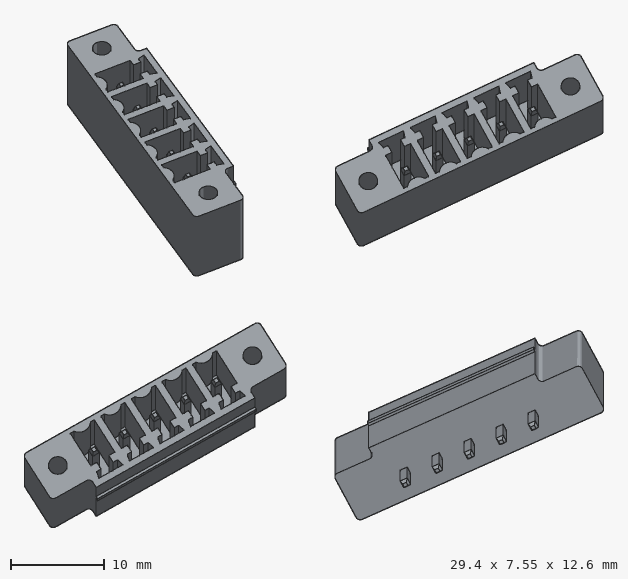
import cadquery as cq

LENGTH = 29.44
FLANGE_DEPTH = 6.05
BODY_LENGTH = 19.8
BODY_DEPTH = 7.25
HEIGHT = 9.2
CORNER_RADIUS = 0.5

RIB_PROJECTION = 0.3
RIB_HEIGHT = 0.65
RIB_BOTTOM = 5.68

CONTACT_COUNT = 5
PITCH = 3.81
CONTACT_Y = 3.0
PIN_WIDTH = 0.84
PIN_TIP_WIDTH = 0.45
PIN_TIP_LENGTH = 0.6
PIN_TAIL = 3.4
PIN_TOP = 7.8

CAVITY_FLOOR = 1.5
CAVITY_WIDTH = 3.0
CAVITY_FRONT = 0.55
CAVITY_SHOULDER = 4.83
NECK_WIDTH = 1.5
NECK_BACK = 5.73
DOVETAIL_WIDTH = 2.6
CAVITY_BACK = 6.5
BUMP_WIDTH = 2.05
BUMP_HEIGHT = 0.55

INSERT_INSET = 2.59
INSERT_DIAMETER = 4.0
INSERT_LENGTH = 6.0
SCREW_DIAMETER = 2.0

contact_xs = [(i - (CONTACT_COUNT - 1) / 2) * PITCH for i in range(CONTACT_COUNT)]
insert_x = LENGTH / 2 - INSERT_INSET
insert_centers = [(-insert_x, CONTACT_Y), (insert_x, CONTACT_Y)]


def make_housing():
    """Flanged block with a deeper middle, plus the latch rib on its back wall."""
    flange = cq.Workplane("XY").box(LENGTH, FLANGE_DEPTH, HEIGHT, centered=(True, False, False))
    body = cq.Workplane("XY").box(BODY_LENGTH, BODY_DEPTH, HEIGHT, centered=(True, False, False))
    flange = flange.edges("|Z").fillet(CORNER_RADIUS)
    housing = flange.union(body)
    inner_corners = cq.selectors.BoxSelector(
        (-BODY_LENGTH / 2 - CORNER_RADIUS, FLANGE_DEPTH - CORNER_RADIUS, 0),
        (BODY_LENGTH / 2 + CORNER_RADIUS, FLANGE_DEPTH + CORNER_RADIUS, HEIGHT),
    )
    housing = housing.edges("|Z").edges(inner_corners).fillet(CORNER_RADIUS)
    rib = cq.Workplane("XY", origin=(0, 0, RIB_BOTTOM)).box(
        BODY_LENGTH, BODY_DEPTH + RIB_PROJECTION, RIB_HEIGHT, centered=(True, False, False)
    )
    return housing.union(rib)


def make_cavity(x):
    """Keyed pocket: wide chamber with a bumped front wall, a neck and a dovetail slot."""
    half = CAVITY_WIDTH / 2
    half_neck = NECK_WIDTH / 2
    half_dovetail = DOVETAIL_WIDTH / 2
    half_bump = BUMP_WIDTH / 2
    return (
        cq.Workplane("XY", origin=(x, 0, CAVITY_FLOOR))
        .moveTo(-half, CAVITY_FRONT)
        .lineTo(-half_bump, CAVITY_FRONT)
        .threePointArc((0, CAVITY_FRONT + BUMP_HEIGHT), (half_bump, CAVITY_FRONT))
        .lineTo(half, CAVITY_FRONT)
        .lineTo(half, CAVITY_SHOULDER)
        .lineTo(half_neck, CAVITY_SHOULDER)
        .lineTo(half_neck, NECK_BACK)
        .lineTo(half_dovetail, NECK_BACK)
        .lineTo(half, CAVITY_BACK)
        .lineTo(-half, CAVITY_BACK)
        .lineTo(-half_dovetail, NECK_BACK)
        .lineTo(-half_neck, NECK_BACK)
        .lineTo(-half_neck, CAVITY_SHOULDER)
        .lineTo(-half, CAVITY_SHOULDER)
        .close()
        .extrude(HEIGHT - CAVITY_FLOOR)
    )


def make_pin_tip(x, z, length):
    """Tapered pin end starting at height z; a negative length points it downward."""
    return (
        cq.Workplane("XY", origin=(x, CONTACT_Y, z))
        .rect(PIN_WIDTH, PIN_WIDTH)
        .workplane(offset=length)
        .rect(PIN_TIP_WIDTH, PIN_TIP_WIDTH)
        .loft(ruled=True)
    )


def make_pin(x):
    """Straight square pin, tapered at both ends."""
    shank_bottom = -PIN_TAIL + PIN_TIP_LENGTH
    shank_top = PIN_TOP - PIN_TIP_LENGTH
    shank = (
        cq.Workplane("XY", origin=(x, CONTACT_Y, shank_bottom))
        .rect(PIN_WIDTH, PIN_WIDTH)
        .extrude(shank_top - shank_bottom)
    )
    upper_tip = make_pin_tip(x, shank_top, PIN_TIP_LENGTH)
    lower_tip = make_pin_tip(x, shank_bottom, -PIN_TIP_LENGTH)
    return shank.union(upper_tip).union(lower_tip)


def cylinders_from_top(diameter, length):
    """One cylinder per flange, reaching down from the top face."""
    return (
        cq.Workplane("XY", origin=(0, 0, HEIGHT - length))
        .pushPoints(insert_centers)
        .circle(diameter / 2)
        .extrude(length)
    )


result = make_housing()
for contact_x in contact_xs:
    result = result.cut(make_cavity(contact_x))
    result = result.union(make_pin(contact_x))

inserts = cylinders_from_top(INSERT_DIAMETER, INSERT_LENGTH)
screw_holes = cylinders_from_top(SCREW_DIAMETER, INSERT_LENGTH)
result = result.cut(inserts)
result = result.union(inserts.cut(screw_holes), clean=False)